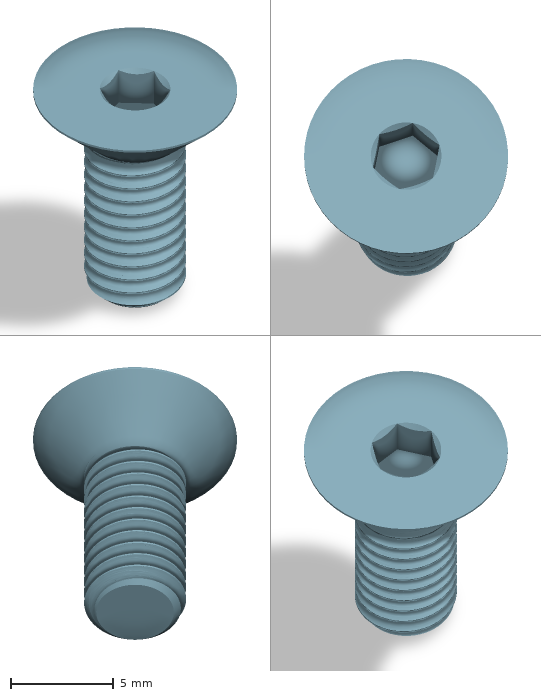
import cadquery as cq
import math

LENGTH = 12.0
HEAD_DIAMETER = 10.0
HEAD_HEIGHT = 2.8
RIM_THICKNESS = 0.12

THREAD_DIAMETER = 5.0
PITCH = LENGTH / 15
CREST_FLAT = PITCH / 8
FLANK_ANGLE = 30.0
FIRST_CREST = 0.67
THREAD_TOP = 9.6
TIP_DIAMETER = 3.8

SOCKET_FLATS = 3.0
SOCKET_DEPTH = 2.0

head_radius = HEAD_DIAMETER / 2
head_bottom = LENGTH - HEAD_HEIGHT
thread_radius = THREAD_DIAMETER / 2
flank_slope = math.tan(math.radians(FLANK_ANGLE))
thread_depth = (PITCH - 2 * CREST_FLAT) / (2 * flank_slope)
core_radius = thread_radius - thread_depth
tip_radius = TIP_DIAMETER / 2


def make_head():
    """Countersunk head: thin cylindrical rim above a 45 degree cone."""
    rim_bottom = LENGTH - RIM_THICKNESS
    cone_end_radius = head_radius - (rim_bottom - head_bottom)
    outline = [
        (0, head_bottom),
        (cone_end_radius, head_bottom),
        (head_radius, rim_bottom),
        (head_radius, LENGTH),
        (0, LENGTH),
    ]
    return cq.Workplane("XZ").polyline(outline).close().revolve(360, (0, 0), (0, 1))


def polar(radius, angle):
    return (radius * math.cos(angle), radius * math.sin(angle))


def spiral_flank(start_angle, end_angle, start_radius, end_radius):
    """Point function of the Archimedean spiral that a flank makes in a flat slice."""

    def point(t):
        angle = start_angle + t * (end_angle - start_angle)
        return polar(start_radius + t * (end_radius - start_radius), angle)

    return point


def make_thread():
    """Right-handed threaded rod: a flat slice of the thread twisted one turn per pitch."""
    crest_angle = -2 * math.pi * FIRST_CREST / PITCH
    half_flat = math.pi * CREST_FLAT / PITCH
    crest_start = crest_angle - half_flat
    crest_end = crest_angle + half_flat
    root_angle = crest_angle + math.pi
    root_start = root_angle - half_flat
    root_end = root_angle + half_flat
    slice_outline = (
        cq.Workplane("XY")
        .moveTo(*polar(thread_radius, crest_start))
        .threePointArc(polar(thread_radius, crest_angle), polar(thread_radius, crest_end))
        .parametricCurve(
            spiral_flank(crest_end, root_start, thread_radius, core_radius), makeWire=False
        )
        .moveTo(*polar(core_radius, root_start))
        .threePointArc(polar(core_radius, root_angle), polar(core_radius, root_end))
        .parametricCurve(
            spiral_flank(root_end, crest_start + 2 * math.pi, core_radius, thread_radius),
            makeWire=False,
        )
        .wire()
    )
    return slice_outline.twistExtrude(THREAD_TOP, 360 * THREAD_TOP / PITCH)


def make_shank():
    """Threaded shank, trimmed by the flat end and the tip chamfer."""
    envelope = (
        cq.Workplane("XY")
        .circle(head_radius)
        .extrude(LENGTH)
        .faces("<Z")
        .chamfer(head_radius - tip_radius)
    )
    return make_thread().intersect(envelope)


def make_socket():
    """Hexagon socket with corners on the Y axis and a 45 degree conical lead-in."""
    corner_diameter = SOCKET_FLATS / math.cos(math.radians(30))
    hexagon = (
        cq.Workplane("XY", origin=(0, 0, LENGTH - SOCKET_DEPTH))
        .transformed(rotate=(0, 0, 90))
        .polygon(6, corner_diameter)
        .extrude(SOCKET_DEPTH)
    )
    corner_radius = corner_diameter / 2
    lead_in = cq.Solid.makeCone(
        corner_radius, 0, corner_radius, cq.Vector(0, 0, LENGTH), cq.Vector(0, 0, -1)
    )
    return hexagon.union(cq.Workplane(lead_in))


result = make_head().union(make_shank()).cut(make_socket())